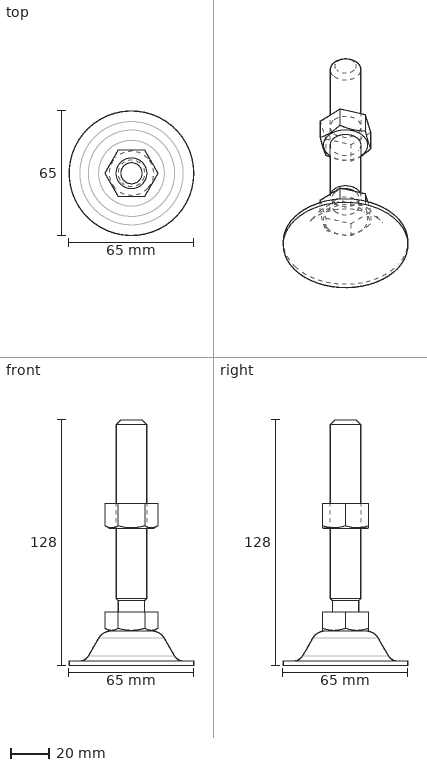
import cadquery as cq
import math

FLANGE_RADIUS = 32.5
FLANGE_THICKNESS = 2.5
SEAT_HEIGHT = 18.1
CONE_HALF_ANGLE = math.radians(30)
CONE_BASE_RADIUS = 22.5
CONE_BASE_HEIGHT = 5.05
CONE_TOP_HEIGHT = 14.35

ACROSS_FLATS = 24.0
ACROSS_CORNERS = ACROSS_FLATS / math.cos(math.radians(30))
HEX_CHAMFER_ANGLE = math.radians(30)
HEX_FACE_RADIUS = 11.5

STUD_RADIUS = 8.0
STUD_TOP = 128.0
TIP_CHAMFER = 2.5
NECK_RADIUS = 6.9
STUD_HEX_HEIGHT = 9.9
SHANK_BOTTOM = 33.8

NUT_HEIGHT = 13.0
NUT_BOTTOM = 71.5


def bottom_chamfered_hex(bottom, height):
    """Hexagonal prism with corners on X and its lower corners turned to a cone."""
    corner_radius = ACROSS_CORNERS / 2
    chamfer_height = (corner_radius - HEX_FACE_RADIUS) * math.tan(HEX_CHAMFER_ANGLE)
    prism = cq.Workplane("XY").workplane(offset=bottom).polygon(6, ACROSS_CORNERS).extrude(height)
    envelope = (
        cq.Workplane("XZ")
        .moveTo(0, bottom)
        .lineTo(HEX_FACE_RADIUS, bottom)
        .lineTo(corner_radius, bottom + chamfer_height)
        .lineTo(corner_radius, bottom + height)
        .lineTo(0, bottom + height)
        .close()
        .revolve(360, (0, 0), (0, 1))
    )
    return prism.intersect(envelope)


def make_foot():
    """Turned foot whose cone blends tangentially into the flange and the seat."""
    sin_cone = math.sin(CONE_HALF_ANGLE)
    cos_cone = math.cos(CONE_HALF_ANGLE)
    cone_height = CONE_TOP_HEIGHT - CONE_BASE_HEIGHT
    cone_top_radius = CONE_BASE_RADIUS - cone_height * math.tan(CONE_HALF_ANGLE)

    flange_blend = (CONE_BASE_HEIGHT - FLANGE_THICKNESS) / (1 - sin_cone)
    seat_blend = (SEAT_HEIGHT - CONE_TOP_HEIGHT) / (1 - sin_cone)
    flange_blend_edge = CONE_BASE_RADIUS + flange_blend * cos_cone
    seat_radius = cone_top_radius - seat_blend * cos_cone

    return (
        cq.Workplane("XZ")
        .lineTo(FLANGE_RADIUS, 0)
        .lineTo(FLANGE_RADIUS, FLANGE_THICKNESS)
        .lineTo(flange_blend_edge, FLANGE_THICKNESS)
        .tangentArcPoint((CONE_BASE_RADIUS, CONE_BASE_HEIGHT), relative=False)
        .lineTo(cone_top_radius, CONE_TOP_HEIGHT)
        .tangentArcPoint((seat_radius, SEAT_HEIGHT), relative=False)
        .lineTo(0, SEAT_HEIGHT)
        .close()
        .revolve(360, (0, 0), (0, 1))
    )


def make_stud():
    """Threaded stud with a relieved neck above its own hexagon."""
    shoulder_height = STUD_RADIUS - NECK_RADIUS
    shaft = (
        cq.Workplane("XZ")
        .moveTo(0, SEAT_HEIGHT)
        .lineTo(NECK_RADIUS, SEAT_HEIGHT)
        .lineTo(NECK_RADIUS, SHANK_BOTTOM)
        .lineTo(STUD_RADIUS, SHANK_BOTTOM + shoulder_height)
        .lineTo(STUD_RADIUS, STUD_TOP - TIP_CHAMFER)
        .lineTo(STUD_RADIUS - TIP_CHAMFER, STUD_TOP)
        .lineTo(0, STUD_TOP)
        .close()
        .revolve(360, (0, 0), (0, 1))
    )
    return bottom_chamfered_hex(SEAT_HEIGHT, STUD_HEX_HEIGHT).union(shaft)


def make_nut():
    """Lock nut bored to fit around the shank."""
    bore = cq.Workplane("XY").workplane(offset=NUT_BOTTOM).circle(STUD_RADIUS).extrude(NUT_HEIGHT)
    return bottom_chamfered_hex(NUT_BOTTOM, NUT_HEIGHT).cut(bore)


foot = make_foot()
stud = make_stud()
nut = make_nut()

result = cq.Compound.makeCompound([foot.val(), stud.val(), nut.val()])